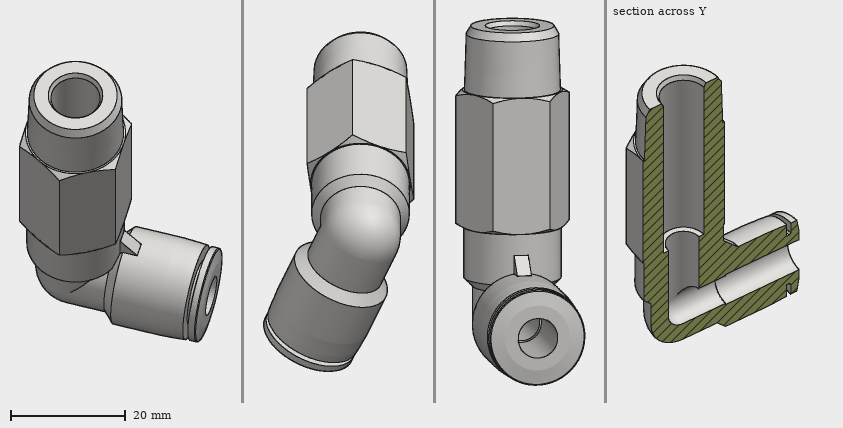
import cadquery as cq
import math


elbow_radius = 7.0
collar_radius = 17.0 / 2
collar_bottom = 6.5
hex_corners = 20.15
hex_flats = hex_corners * math.cos(math.pi / 6)
hex_bottom = 15.55
hex_height = 24.15
hex_top = hex_bottom + hex_height
thread_base_radius = 16.8 / 2
thread_taper = 1 / 16
bevel_angle = math.radians(30)
lead_in_height = 1.45

port_radius = 17.5 / 2
port_start = 7.15
port_straight_end = 17.45
port_taper_end = 20.5
port_end = 21.9
port_end_radius = 8.5
port_step_radius = 8.6
neck_radius = 11.55 / 2
neck_end = 22.45
flange_start = 22.8
flange_neck_radius = 6.1
flange_radius = 8.4
flange_rim_end = 24.0
flange_edge = 0.2
overall_length = 33.35
flange_face = overall_length - hex_flats / 2
flange_face_radius = 5.75

rib_width = 2.5
rib_reach = 20.3

bore_radius = 6.4 / 2
stem_bore_radius = 8.55 / 2
stem_mouth_radius = 9.5 / 2
stem_bore_bottom = hex_bottom
port_bore_radius = 7.0 / 2

overall_height = 59.75
stem_top = overall_height - port_radius
lead_in_bottom = stem_top - lead_in_height
port_cone_end = port_start + port_radius - elbow_radius


def turn_about_z(profile):
    """Revolve (radius, z) points about the stem axis."""
    return cq.Workplane("XZ").polyline(profile).close().revolve(360, (0, 0), (0, 1))


def turn_about_x(profile):
    """Revolve (x, radius) points about the port axis."""
    return cq.Workplane("XZ").polyline(profile).close().revolve(360, (0, 0), (1, 0))


def make_stem():
    collar_cone_height = collar_radius - elbow_radius
    thread_tip_radius = thread_base_radius - (lead_in_bottom - hex_top) * thread_taper / 2
    top_radius = thread_tip_radius - lead_in_height * math.tan(bevel_angle)
    return turn_about_z([
        (0, 0),
        (elbow_radius, 0),
        (elbow_radius, collar_bottom - collar_cone_height),
        (collar_radius, collar_bottom),
        (collar_radius, hex_bottom),
        (thread_base_radius, hex_top),
        (thread_tip_radius, lead_in_bottom),
        (top_radius, stem_top),
        (0, stem_top),
    ])


def make_hex():
    prism = (
        cq.Workplane("XY")
        .workplane(offset=hex_bottom)
        .polygon(6, hex_corners)
        .extrude(hex_height)
        .rotate((0, 0, 0), (0, 0, 1), 30)
    )
    end_radius = hex_flats / 2
    corner_radius = hex_corners / 2
    bevel_height = (corner_radius - end_radius) * math.tan(bevel_angle)
    blank = turn_about_z([
        (0, hex_bottom),
        (end_radius, hex_bottom),
        (corner_radius, hex_bottom + bevel_height),
        (corner_radius, hex_top - bevel_height),
        (end_radius, hex_top),
        (0, hex_top),
    ])
    return prism.intersect(blank)


def make_port():
    return turn_about_x([
        (0, 0),
        (0, elbow_radius),
        (port_start, elbow_radius),
        (port_cone_end, port_radius),
        (port_straight_end, port_radius),
        (port_taper_end, port_step_radius),
        (port_end, port_end_radius),
        (port_end, neck_radius),
        (neck_end, neck_radius),
        (flange_start, flange_neck_radius),
        (flange_start, flange_radius),
        (flange_rim_end, flange_radius),
        (flange_rim_end + flange_edge, flange_radius - flange_edge),
        (flange_face, flange_face_radius),
        (flange_face, 0),
    ])


def make_rib():
    outline = [(0, 0), (rib_reach - port_radius, 0), (rib_reach - port_radius, port_radius),
               (collar_radius, rib_reach - collar_radius), (0, rib_reach - collar_radius)]
    return cq.Workplane("XZ").polyline(outline).close().extrude(rib_width / 2, both=True)


def make_passages():
    mouth_depth = (stem_mouth_radius - stem_bore_radius) / math.tan(bevel_angle)
    stem_passage = turn_about_z([
        (0, 0),
        (bore_radius, 0),
        (bore_radius, stem_bore_bottom),
        (stem_bore_radius, stem_bore_bottom),
        (stem_bore_radius, stem_top - mouth_depth),
        (stem_mouth_radius, stem_top),
        (0, stem_top),
    ])
    port_passage = turn_about_x([
        (0, 0),
        (0, bore_radius),
        (port_cone_end, bore_radius),
        (port_cone_end, port_bore_radius),
        (flange_face, port_bore_radius),
        (flange_face, 0),
    ])
    bend = cq.Workplane("XY").sphere(bore_radius)
    return stem_passage.union(port_passage).union(bend)


body = make_stem().union(make_hex()).union(make_port()).union(make_rib())
body = body.union(cq.Workplane("XY").sphere(elbow_radius))
result = body.cut(make_passages())